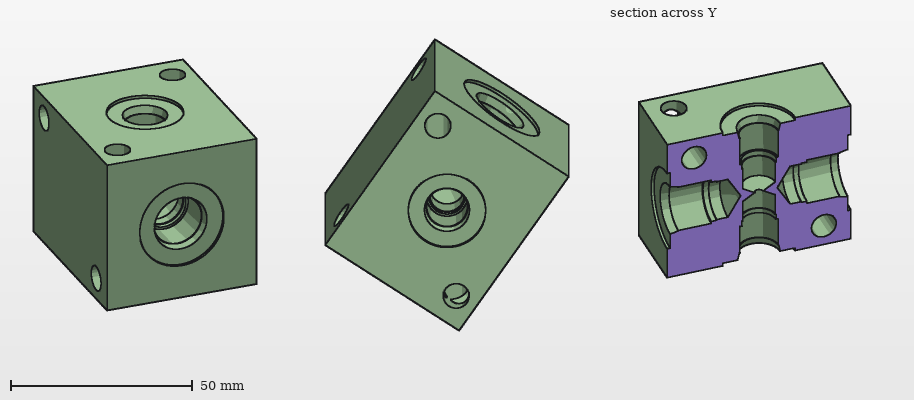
import cadquery as cq
import math

LENGTH = 54.0
SIDE = 44.4

MOUNT_DIAMETER = 7.1
MOUNT_END_OFFSET = 7.95
MOUNT_EDGE_OFFSET = 6.3

SPOTFACE_DEPTH = 0.85
SEAT_HALF_ANGLE = math.radians(12.0)
DRILL_TIP_HALF_ANGLE = math.radians(59.0)


def port_cutter(spotface_diameter, spotface_depth, seat_diameter, seat_floor_diameter,
                thread_diameter, thread_depth, tap_diameter, tap_depth, drill_diameter, drill_depth):
    """Port cavity opening at Z = 0 and running down -Z; depths are measured from the block face."""
    spotface_radius = spotface_diameter / 2
    seat_radius = seat_diameter / 2
    seat_floor_radius = seat_floor_diameter / 2
    thread_radius = thread_diameter / 2
    tap_radius = tap_diameter / 2
    drill_radius = drill_diameter / 2
    seat_depth = spotface_depth + (seat_radius - seat_floor_radius) / math.tan(SEAT_HALF_ANGLE)
    tip_depth = drill_depth + drill_radius / math.tan(DRILL_TIP_HALF_ANGLE)
    return (
        cq.Workplane("XZ")
        .moveTo(0, 0)
        .lineTo(spotface_radius, 0)
        .lineTo(spotface_radius, -spotface_depth)
        .lineTo(seat_radius, -spotface_depth)
        .lineTo(seat_floor_radius, -seat_depth)
        .lineTo(thread_radius, -seat_depth)
        .lineTo(thread_radius, -thread_depth)
        .lineTo(tap_radius, -thread_depth)
        .lineTo(tap_radius, -tap_depth)
        .lineTo(drill_radius, -tap_depth)
        .lineTo(drill_radius, -drill_depth)
        .lineTo(0, -tip_depth)
        .close()
        .revolve(360, (0, 0, 0), (0, 1, 0))
    )


def mounting_holes(plane):
    """Two diagonally opposite holes running right through the block along the plane normal."""
    x = LENGTH / 2 - MOUNT_END_OFFSET
    y = SIDE / 2 - MOUNT_EDGE_OFFSET
    return (
        cq.Workplane(plane)
        .pushPoints([(-x, y), (x, -y)])
        .circle(MOUNT_DIAMETER / 2)
        .extrude(SIDE / 2, both=True)
    )


block = cq.Workplane("XY").box(LENGTH, SIDE, SIDE)

for plane in ("XY", "XZ"):
    block = block.cut(mounting_holes(plane))

small_port = port_cutter(
    spotface_diameter=21.25,
    spotface_depth=SPOTFACE_DEPTH,
    seat_diameter=12.4,
    seat_floor_diameter=11.45,
    thread_diameter=11.1,
    thread_depth=11.9,
    tap_diameter=9.9,
    tap_depth=13.5,
    drill_diameter=9.5,
    drill_depth=20.0,
)
top_port = small_port.translate((0, 0, SIDE / 2))
for turn in (0, 180):
    block = block.cut(top_port.rotate((0, 0, 0), (0, 1, 0), turn))

large_port = port_cutter(
    spotface_diameter=25.0,
    spotface_depth=SPOTFACE_DEPTH,
    seat_diameter=15.55,
    seat_floor_diameter=14.5,
    thread_diameter=14.25,
    thread_depth=12.95,
    tap_diameter=12.9,
    tap_depth=14.6,
    drill_diameter=12.4,
    drill_depth=17.8,
)
end_port = large_port.translate((0, 0, LENGTH / 2))
for turn in (-90, 90):
    block = block.cut(end_port.rotate((0, 0, 0), (0, 1, 0), turn))

result = block